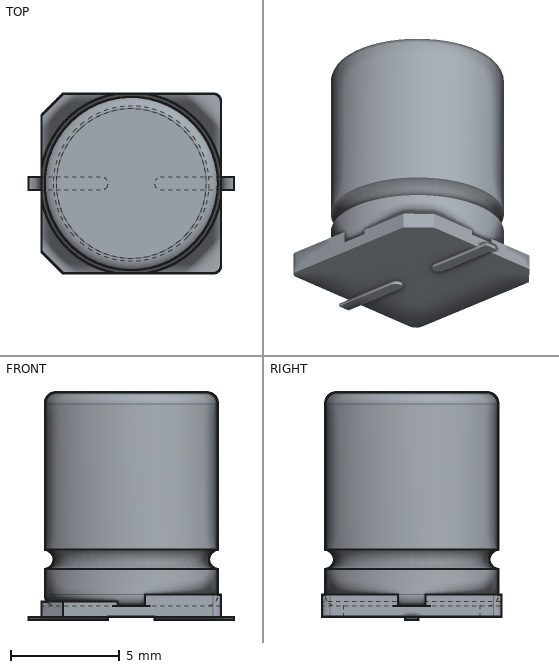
import cadquery as cq

total_height = 10.51
lead_span = 9.5

base_size = 8.3
base_low_top = 0.84
base_high_top = 1.16
chamfer_size = 1.0
corner_radius = 0.37
pocket_radius = 4.2
pocket_floor = 0.63

can_radius = 4.0
can_edge_radius = 0.54
groove_radius = 0.45
groove_depth = 0.41
groove_height = 2.79

lead_thickness = 0.14
lead_width = 0.62
lead_inner_end = 1.08


def make_base():
    """Square plate: -X corners chamfered and low, +X corners rounded and high."""
    plate = (
        cq.Workplane("XY")
        .workplane(offset=lead_thickness)
        .rect(base_size, base_size)
        .extrude(base_high_top - lead_thickness)
        .edges("|Z and <X")
        .chamfer(chamfer_size)
        .edges("|Z and >X")
        .fillet(corner_radius)
    )
    low_side = (
        cq.Workplane("XY")
        .workplane(offset=base_low_top)
        .center(-base_size / 2, 0)
        .rect(base_size, base_size)
        .extrude(base_high_top - base_low_top)
    )
    pocket = (
        cq.Workplane("XY")
        .workplane(offset=pocket_floor)
        .circle(pocket_radius)
        .extrude(base_high_top - pocket_floor)
    )
    return plate.cut(low_side).cut(pocket)


def make_can():
    """Round can standing on the pocket floor, with a rolled groove around it."""
    can = (
        cq.Workplane("XY")
        .workplane(offset=pocket_floor)
        .circle(can_radius)
        .extrude(total_height - pocket_floor)
        .faces("<Z or >Z")
        .edges()
        .fillet(can_edge_radius)
    )
    groove_ring_radius = can_radius - groove_depth + groove_radius
    groove = cq.Workplane("XY").add(
        cq.Solid.makeTorus(groove_ring_radius, groove_radius, cq.Vector(0, 0, groove_height))
    )
    return can.cut(groove)


def make_lead(side):
    """Flat lead under the base with a round inner end; side is +1 or -1 along X."""
    half_width = lead_width / 2
    outer_end = side * lead_span / 2
    arc_start = side * (lead_inner_end + half_width)
    return (
        cq.Workplane("XY")
        .moveTo(outer_end, -half_width)
        .lineTo(arc_start, -half_width)
        .threePointArc((side * lead_inner_end, 0), (arc_start, half_width))
        .lineTo(outer_end, half_width)
        .close()
        .extrude(lead_thickness)
    )


result = make_base().union(make_can())
for lead_side in (-1, 1):
    result = result.union(make_lead(lead_side))